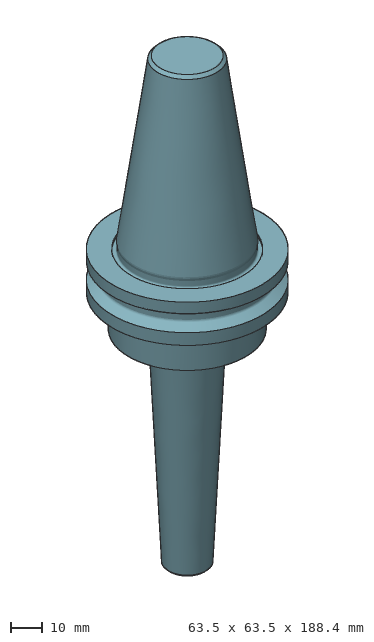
import cadquery as cq

TOTAL_LENGTH = 188.4

TAPER_HEIGHT = 68.4
TAPER_TOP_RADIUS = 12.5
GAUGE_RADIUS = 22.2
TOP_CHAMFER = 1.1

GAUGE_LAND_HEIGHT = 0.5
NECK_RADIUS = 22.0
NECK_CHAMFER_HEIGHT = 1.5

RELIEF_RADIUS = 23.7
RELIEF_DEPTH = 1.0
RELIEF_FILLET = 0.8

FLANGE_RADIUS = 63.5 / 2
FLANGE_TOP = -3.2
FLANGE_BOTTOM = -19.2
UPPER_RIM_HEIGHT = 4.3
LOWER_RIM_HEIGHT = 4.7
GROOVE_FLOOR_RADIUS = 28.3
GROOVE_WALL_HEIGHT = 2.0
GROOVE_FILLET = 0.8

BODY_RADIUS = 24.9
BODY_BOTTOM = -32.8
NOSE_TOP = -39.0
NOSE_TOP_RADIUS = 12.0
NOSE_TIP_RADIUS = 8.1
TIP_CHAMFER = 1.0
NOSE_BOTTOM = TAPER_HEIGHT - TOTAL_LENGTH

EDGE_MARGIN = 0.1

relief_floor = FLANGE_TOP - RELIEF_DEPTH
groove_top = FLANGE_TOP - UPPER_RIM_HEIGHT
groove_bottom = FLANGE_BOTTOM + LOWER_RIM_HEIGHT
floor_top = groove_top - GROOVE_WALL_HEIGHT
floor_bottom = groove_bottom + GROOVE_WALL_HEIGHT

half_section = [
    (0, TAPER_HEIGHT),
    (TAPER_TOP_RADIUS - TOP_CHAMFER, TAPER_HEIGHT),
    (TAPER_TOP_RADIUS, TAPER_HEIGHT - TOP_CHAMFER),
    (GAUGE_RADIUS, 0),
    (GAUGE_RADIUS, -GAUGE_LAND_HEIGHT),
    (NECK_RADIUS, -NECK_CHAMFER_HEIGHT),
    (NECK_RADIUS, relief_floor),
    (RELIEF_RADIUS, relief_floor),
    (RELIEF_RADIUS, FLANGE_TOP),
    (FLANGE_RADIUS, FLANGE_TOP),
    (FLANGE_RADIUS, groove_top),
    (GROOVE_FLOOR_RADIUS, floor_top),
    (GROOVE_FLOOR_RADIUS, floor_bottom),
    (FLANGE_RADIUS, groove_bottom),
    (FLANGE_RADIUS, FLANGE_BOTTOM),
    (BODY_RADIUS, FLANGE_BOTTOM),
    (BODY_RADIUS, BODY_BOTTOM),
    (NOSE_TOP_RADIUS, NOSE_TOP),
    (NOSE_TIP_RADIUS, NOSE_BOTTOM + TIP_CHAMFER),
    (NOSE_TIP_RADIUS - TIP_CHAMFER, NOSE_BOTTOM),
    (0, NOSE_BOTTOM),
]


def round_circle(solid, radius, height, fillet):
    """Fillet the circular edge of the given radius at the given height."""
    edge_box = cq.selectors.BoxSelector(
        (-radius - EDGE_MARGIN, -radius - EDGE_MARGIN, height - EDGE_MARGIN),
        (radius + EDGE_MARGIN, radius + EDGE_MARGIN, height + EDGE_MARGIN),
        boundingbox=True,
    )
    return solid.edges("%CIRCLE").edges(edge_box).fillet(fillet)


result = cq.Workplane("XZ").polyline(half_section).close().revolve(360, (0, 0, 0), (0, 1, 0))

for height in (floor_top, floor_bottom):
    result = round_circle(result, GROOVE_FLOOR_RADIUS, height, GROOVE_FILLET)
result = round_circle(result, NECK_RADIUS, relief_floor, RELIEF_FILLET)